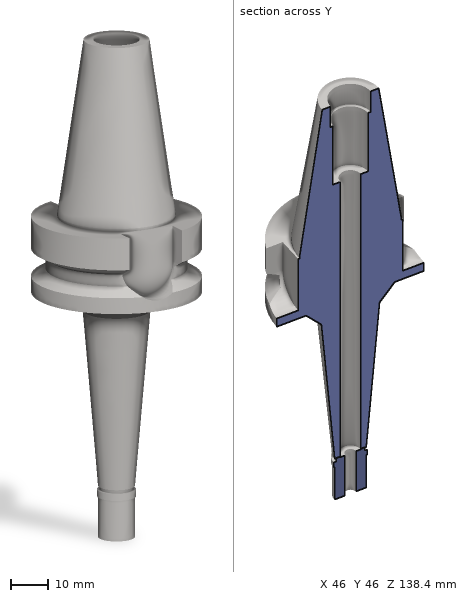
import cadquery as cq

TOTAL_HEIGHT = 138.4
TAPER_BASE_Z = 90.0
FLANGE_TOP_Z = 89.3
GROOVE_UPPER_EDGE_Z = 80.4
GROOVE_UPPER_FLOOR_Z = 78.2
GROOVE_LOWER_FLOOR_Z = 74.9
GROOVE_LOWER_EDGE_Z = 72.7
FLANGE_BOTTOM_Z = 68.2
NECK_TOP_Z = 63.1
HOLDER_BOTTOM_Z = 14.3
COLLAR_TOP_Z = 13.3
COLLAR_BOTTOM_Z = 11.3

TAPER_TOP_RADIUS = 8.9
TAPER_BASE_RADIUS = 15.9
FLANGE_RADIUS = 23.0
GROOVE_RADIUS = 19.1
SHOULDER_RADIUS = 13.8
NECK_TOP_RADIUS = 9.1
NECK_BOTTOM_RADIUS = 5.0
RELIEF_RADIUS = 4.5
COLLAR_RADIUS = 5.3
TIP_RADIUS = 5.0

MOUTH_RADIUS = 6.2
MOUTH_DEPTH = 7.2
THREAD_RADIUS = 5.4
THREAD_DEPTH = 27.7
COOLANT_RADIUS = 3.2
TIP_HOLE_RADIUS = 1.7

SLOT_WIDTH = 16.2
SLOT_BOTTOM_Z = 71.3
SLOT_FLOOR_X = 16.3


def revolve_profile(points):
    """Turn a closed (radius, height) outline into a solid around Z."""
    return cq.Workplane("XZ").polyline(points).close().revolve(360, (0, 0), (0, 1))


def holder_blank():
    """Outer turned shape and stepped bore of the holder."""
    thread_top_z = TOTAL_HEIGHT - MOUTH_DEPTH
    thread_bottom_z = TOTAL_HEIGHT - THREAD_DEPTH
    outside = [
        (MOUTH_RADIUS, TOTAL_HEIGHT),
        (TAPER_TOP_RADIUS, TOTAL_HEIGHT),
        (TAPER_BASE_RADIUS, TAPER_BASE_Z),
        (TAPER_BASE_RADIUS, FLANGE_TOP_Z),
        (FLANGE_RADIUS, FLANGE_TOP_Z),
        (FLANGE_RADIUS, GROOVE_UPPER_EDGE_Z),
        (GROOVE_RADIUS, GROOVE_UPPER_FLOOR_Z),
        (GROOVE_RADIUS, GROOVE_LOWER_FLOOR_Z),
        (FLANGE_RADIUS, GROOVE_LOWER_EDGE_Z),
        (FLANGE_RADIUS, FLANGE_BOTTOM_Z),
        (SHOULDER_RADIUS, FLANGE_BOTTOM_Z),
        (NECK_TOP_RADIUS, NECK_TOP_Z),
        (NECK_BOTTOM_RADIUS, HOLDER_BOTTOM_Z),
    ]
    bore = [
        (COOLANT_RADIUS, HOLDER_BOTTOM_Z),
        (COOLANT_RADIUS, thread_bottom_z),
        (THREAD_RADIUS, thread_bottom_z),
        (THREAD_RADIUS, thread_top_z),
        (MOUTH_RADIUS, thread_top_z),
    ]
    return revolve_profile(outside + bore)


def drive_slot(angle):
    """Round-bottomed cutter for the slot that faces the given angle about Z."""
    half_width = SLOT_WIDTH / 2
    arc_center_z = SLOT_BOTTOM_Z + half_width
    return (
        cq.Workplane("YZ", origin=(SLOT_FLOOR_X, 0, 0))
        .moveTo(-half_width, FLANGE_TOP_Z)
        .lineTo(-half_width, arc_center_z)
        .threePointArc((0, SLOT_BOTTOM_Z), (half_width, arc_center_z))
        .lineTo(half_width, FLANGE_TOP_Z)
        .close()
        .extrude(FLANGE_RADIUS)
        .rotate((0, 0, 0), (0, 0, 1), angle)
    )


def make_holder():
    """Taper, grooved flange and slender neck, with two drive slots."""
    body = holder_blank()
    for angle in (0, 180):
        body = body.cut(drive_slot(angle))
    return body


def make_tip():
    """Collared tip below the neck, with a relief above its collar."""
    return revolve_profile([
        (TIP_HOLE_RADIUS, HOLDER_BOTTOM_Z),
        (RELIEF_RADIUS, HOLDER_BOTTOM_Z),
        (RELIEF_RADIUS, COLLAR_TOP_Z),
        (COLLAR_RADIUS, COLLAR_TOP_Z),
        (COLLAR_RADIUS, COLLAR_BOTTOM_Z),
        (TIP_RADIUS, COLLAR_BOTTOM_Z),
        (TIP_RADIUS, 0),
        (TIP_HOLE_RADIUS, 0),
    ])


holder = make_holder()
tip = make_tip()
result = cq.Compound.makeCompound([holder.val(), tip.val()])